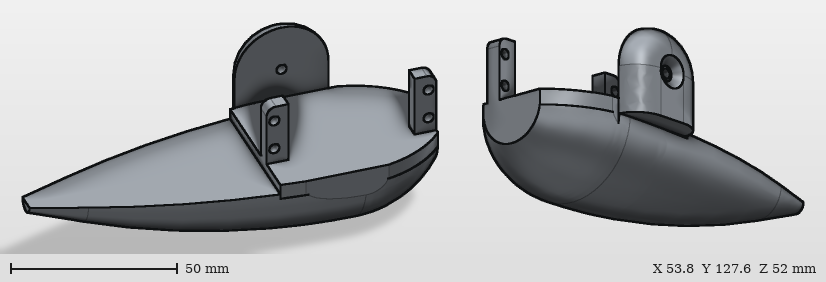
import cadquery as cq
import math

max_radius = 23.5
nose_length = 27.15
nose_arc_radius = 36.5
tail_length = 100.4
tail_arc_length = 83.75
tail_arc_radius = 250.0
side_limit = 22.76

deck_bottom = -1.6
deck_top = 3.4
deck_rear = -nose_length

post_width = 5.0
post_x = 4.95
post_length = 7.0
post_height = 20.0
post_corner_radius = 3.0
post_hole_diameter = 3.2
post_hole_inset = 2.5
post_hole_drop = 5.0
post_hole_spacing = 10.0

boss_face_x = -31.0
boss_y = -10.4
boss_radius = 15.0
boss_flat_radius = 5.15
boss_top = 28.48
boss_hole_diameter = 3.2
recess_floor_diameter = 4.8
recess_depth = 2.5

boss_thickness = -side_limit - boss_face_x
boss_axis_z = boss_top - boss_radius
boss_front = boss_y + boss_radius


def arc_drop(arc_radius, distance):
    """Loss of hull radius on an arc that is tangent to the axis direction at y = 0."""
    return arc_radius - math.sqrt(arc_radius**2 - distance**2)


def hull_profile():
    """Half outline of the hull in the XY plane, from the axis out to +X."""
    nose_radius = max_radius - arc_drop(nose_arc_radius, nose_length)
    nose_mid = max_radius - arc_drop(nose_arc_radius, nose_length / 2)
    tail_mid = max_radius - arc_drop(tail_arc_radius, tail_arc_length / 2)
    tail_arc_end = max_radius - arc_drop(tail_arc_radius, tail_arc_length)
    tail_slope = math.tan(math.asin(tail_arc_length / tail_arc_radius))
    tip_radius = tail_arc_end - (tail_length - tail_arc_length) * tail_slope
    return (
        cq.Workplane("XY")
        .moveTo(0, nose_length)
        .lineTo(nose_radius, nose_length)
        .threePointArc((nose_mid, nose_length / 2), (max_radius, 0))
        .threePointArc((tail_mid, -tail_arc_length / 2), (tail_arc_end, -tail_arc_length))
        .lineTo(tip_radius, -tail_length)
        .lineTo(0, -tail_length)
        .close()
    )


def block(x_range, y_range, z_range):
    """Box spanning the given (low, high) ranges."""
    spans = (x_range, y_range, z_range)
    sizes = [high - low for low, high in spans]
    corner = tuple(low for low, high in spans)
    return cq.Workplane("XY").box(*sizes, centered=False).translate(corner)


def make_hull():
    """Lower half of the revolved body, with flat sides except below the boss."""
    hull = hull_profile().revolve(180, (0, 0, 0), (0, 1, 0))
    depth = (-max_radius, 0)
    right_side = block((side_limit, max_radius), (-tail_length, nose_length), depth)
    left_front = block((-max_radius, -side_limit), (boss_front, nose_length), depth)
    boss_seat = block((-max_radius, -side_limit), (-tail_length, boss_front), (deck_bottom, 0))
    return hull.cut(right_side).cut(left_front).cut(boss_seat)


def make_deck():
    """Slab with the plan outline of the hull, trimmed at the flat sides and the rear step."""
    half = hull_profile().extrude(deck_top - deck_bottom)
    slab = half.union(half.mirror("YZ")).translate((0, 0, deck_bottom))
    bounds = block((-side_limit, side_limit), (deck_rear, nose_length), (deck_bottom, deck_top))
    return slab.intersect(bounds)


def make_post(outer_y, inward):
    """Post with its outer face at outer_y; inward is the Y sign toward the middle of the deck."""
    post = block((post_x, post_x + post_width), (0, post_length), (deck_top, deck_top + post_height))
    post = post.faces("<Y").edges(">Z").fillet(post_corner_radius)
    top_hole_z = deck_top + post_height - post_hole_drop
    holes = (
        cq.Workplane("YZ", origin=(post_x, 0, 0))
        .pushPoints([(post_hole_inset, z) for z in (top_hole_z, top_hole_z - post_hole_spacing)])
        .circle(post_hole_diameter / 2)
        .extrude(post_width)
    )
    post = post.cut(holes)
    if inward < 0:
        post = post.mirror("XZ")
    return post.translate((0, outer_y, 0))


def boss_half_section():
    """Half section of the boss on the XY plane: X through the thickness, Y across the boss."""
    rim_width = boss_radius - boss_flat_radius
    return (
        cq.Workplane("XY")
        .lineTo(0, boss_radius)
        .ellipseArc(boss_thickness, rim_width, 90, 180, sense=1)
        .lineTo(-boss_thickness, 0)
        .close()
    )


def make_boss():
    """Dome over a straight-sided foot, with a rounded rim and a conical screw recess."""
    half_dome = boss_half_section().revolve(90, (0, 0, 0), (1, 0, 0))
    half_foot = boss_half_section().extrude(deck_bottom - boss_axis_z)
    half_boss = half_dome.union(half_foot)
    boss = half_boss.union(half_boss.mirror("XZ"))
    recess = (
        cq.Workplane("YZ", origin=(-boss_thickness, 0, 0))
        .circle(boss_flat_radius)
        .workplane(offset=recess_depth)
        .circle(recess_floor_diameter / 2)
        .loft()
    )
    hole = cq.Workplane("YZ").circle(boss_hole_diameter / 2).extrude(-boss_thickness)
    boss = boss.cut(recess).cut(hole)
    return boss.translate((-side_limit, boss_y, boss_axis_z))


front_post = make_post(nose_length, -1)
rear_post = make_post(deck_rear, 1)

result = make_hull().union(make_deck()).union(front_post).union(rear_post).union(make_boss())